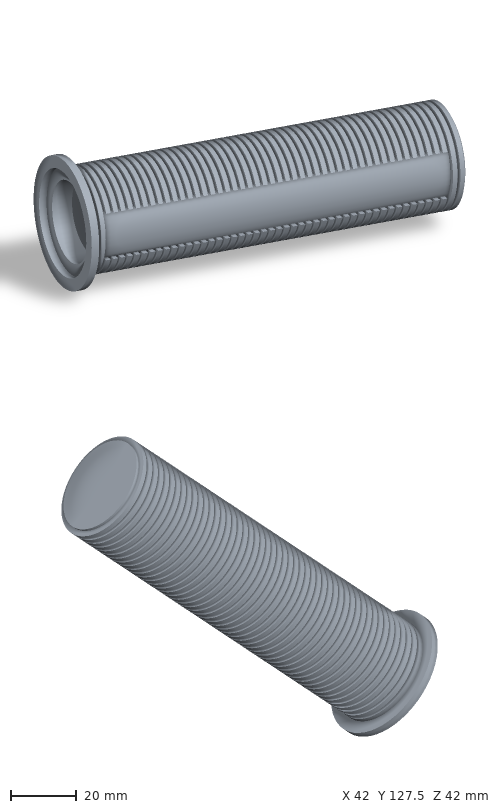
import cadquery as cq

total_length = 127.5
flange_diameter = 42.0
fin_diameter = 34.0
root_diameter = 30.3
bore_diameter = 26.0

fin_count = 50
full_fins_per_end = 2
groove_width = 1.0
fin_pitch = total_length / (fin_count + 1)
fin_width = fin_pitch - groove_width

flange_thickness = fin_pitch
end_wall = (root_diameter - bore_diameter) / 2

strip_width = 15.3


def cylinder(diameter, start, length):
    """Solid cylinder on the Y axis, from y = start towards +Y."""
    return cq.Workplane("XZ", origin=(0, start, 0)).circle(diameter / 2).extrude(-length)


def fin_start(index):
    return flange_thickness + index * fin_pitch


def make_flange():
    """Flat ring whose hole matches the fin diameter."""
    hole = cylinder(fin_diameter, 0, flange_thickness)
    return cylinder(flange_diameter, 0, flange_thickness).cut(hole)


def make_fin_envelope():
    """Cylinder at fin diameter, notched down to the root along the +X strip."""
    envelope = cylinder(fin_diameter, flange_thickness, total_length - flange_thickness)
    strip_start = fin_start(full_fins_per_end - 1) + fin_width
    strip_end = fin_start(fin_count - full_fins_per_end)
    strip_length = strip_end - strip_start
    strip_block = cq.Workplane("XY").box(
        fin_diameter, strip_length, strip_width, centered=(False, False, True)
    ).translate((0, strip_start, 0))
    notch = strip_block.cut(cylinder(root_diameter, strip_start, strip_length))
    return envelope.cut(notch)


def make_groove(index):
    """Ring-shaped cutter for the groove behind one fin."""
    start = fin_start(index) + fin_width
    return cylinder(flange_diameter, start, groove_width).cut(
        cylinder(root_diameter, start, groove_width)
    )


def make_tube():
    """Finned tube, open at the flange and closed at the far end."""
    grooves = [make_groove(index).val() for index in range(fin_count)]
    bore_length = total_length - end_wall - flange_thickness
    bore = cylinder(bore_diameter, flange_thickness, bore_length)
    return make_fin_envelope().cut(cq.Compound.makeCompound(grooves)).cut(bore)


flange = make_flange()
tube = make_tube()

result = cq.Compound.makeCompound([flange.val(), *tube.vals()])